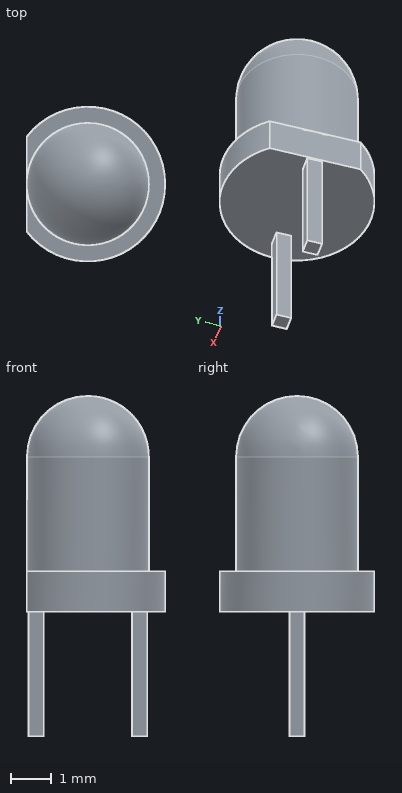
import cadquery as cq

lens_diameter = 3.0
lens_radius = lens_diameter / 2
straight_height = 2.8
flange_diameter = 3.8
flange_radius = flange_diameter / 2
flange_height = 1.0
flat_distance = lens_radius
lead_width = 0.38
lead_length = 3.05
lead_pitch = 2.54


def make_housing():
    """Flange, cylinder and dome revolved as one solid, with the flat cut on the flange."""
    dome_base = flange_height + straight_height
    dome_top = dome_base + lens_radius
    dome_rise = lens_radius * 0.5 ** 0.5

    profile = (
        cq.Workplane("XZ")
        .moveTo(0, 0)
        .lineTo(flange_radius, 0)
        .lineTo(flange_radius, flange_height)
        .lineTo(lens_radius, flange_height)
        .lineTo(lens_radius, dome_base)
        .threePointArc((dome_rise, dome_base + dome_rise), (0, dome_top))
        .close()
    )
    body = profile.revolve(360, (0, 0, 0), (0, 1, 0))

    flat_cutter = (
        cq.Workplane("XY")
        .box(flange_radius, flange_diameter, flange_height, centered=(False, True, False))
        .translate((-flat_distance - flange_radius, 0, 0))
    )
    return body.cut(flat_cutter)


def make_lead(x):
    """Square lead hanging from the underside of the flange."""
    return cq.Workplane("XY").center(x, 0).rect(lead_width, lead_width).extrude(-lead_length)


housing = make_housing()
leads = [make_lead(side * lead_pitch / 2) for side in (-1, 1)]

result = cq.Compound.makeCompound([housing.val(), *[lead.val() for lead in leads]])